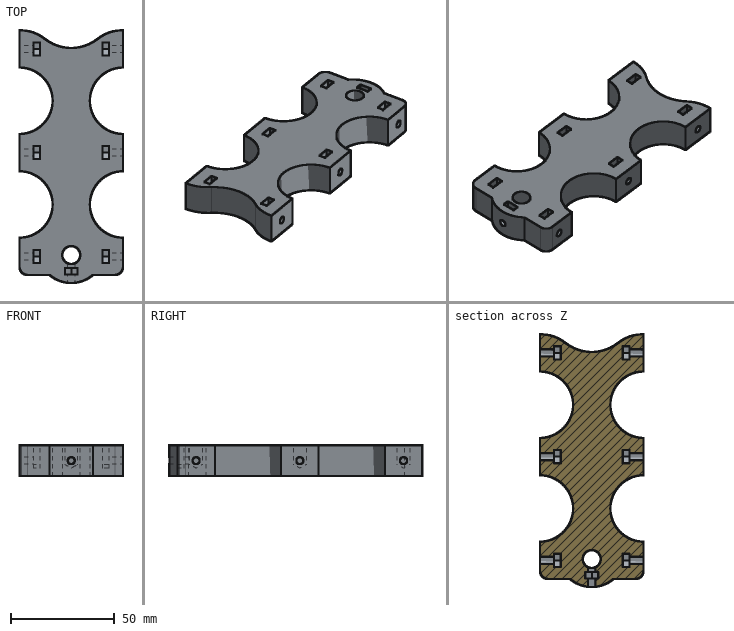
import cadquery as cq
import math

width = 50.0
length = 121.8
thickness = 15.0
row_pitch = 50.0
land_half = 9.0
corner_radius = 4.0

recess_radius = row_pitch / 2 - land_half

nose_radius = 16.0
hollow_radius = 20.7
hollow_depth = 8.5
shoulder_radius = 18.9

bore_diameter = 8.5
bore_above_row = 0.6

screw_diameter = 3.4
nut_flats = 6.2
side_nut_thickness = 3.2
nose_nut_thickness = 2.9
side_nut_inset = 8.4
nose_nut_inset = 5.7

half_width = width / 2
middle_z = thickness / 2
end_y = row_pitch + land_half
nose_tip_y = end_y - length
flat_y = -end_y
bore_y = -row_pitch + bore_above_row
row_ys = [-row_pitch, 0, row_pitch]
recess_ys = [-row_pitch / 2, row_pitch / 2]

side_screw_depth = side_nut_inset
nose_screw_depth = bore_y - nose_tip_y


def disc(x, y, radius):
    return cq.Workplane("XY").center(x, y).circle(radius).extrude(thickness)


def body():
    block = cq.Workplane("XY").box(width, end_y - flat_y, thickness, centered=(True, True, False))
    block = block.edges("|Z and <Y").fillet(corner_radius)
    return block.union(disc(0, nose_tip_y + nose_radius, nose_radius))


def hollow():
    """Round hollow in the +Y end, flaring into the end face through tangent shoulders."""
    centre_y = end_y - hollow_depth + hollow_radius
    shoulder_y = end_y - shoulder_radius
    centre_gap = hollow_radius + shoulder_radius
    shoulder_x = math.sqrt(centre_gap**2 - (centre_y - shoulder_y) ** 2)
    tangent_x = shoulder_x * hollow_radius / centre_gap
    tangent_y = centre_y - (centre_y - shoulder_y) * hollow_radius / centre_gap
    half_angle = math.atan2(shoulder_x - tangent_x, tangent_y - shoulder_y) / 2
    mid_x = shoulder_x - shoulder_radius * math.sin(half_angle)
    mid_y = shoulder_y + shoulder_radius * math.cos(half_angle)
    return (
        cq.Workplane("XY")
        .moveTo(-shoulder_x, end_y)
        .threePointArc((-mid_x, mid_y), (-tangent_x, tangent_y))
        .threePointArc((0, end_y - hollow_depth), (tangent_x, tangent_y))
        .threePointArc((mid_x, mid_y), (shoulder_x, end_y))
        .close()
        .extrude(thickness)
    )


def screw_and_nut(depth, nut_inset, nut_thickness):
    """Cutter for a screw entering along +X from the origin, with its nut pocket open to +Z."""
    screw = cq.Workplane("YZ").circle(screw_diameter / 2).extrude(depth)
    half_flats = nut_flats / 2
    point_low = -half_flats / math.cos(math.pi / 6)
    side_low = point_low / 2
    pocket = (
        cq.Workplane("YZ", origin=(nut_inset - nut_thickness / 2, 0, 0))
        .moveTo(0, point_low)
        .lineTo(half_flats, side_low)
        .lineTo(half_flats, middle_z)
        .lineTo(-half_flats, middle_z)
        .lineTo(-half_flats, side_low)
        .close()
        .extrude(nut_thickness)
    )
    return screw.union(pocket)


result = body().cut(hollow()).cut(disc(0, bore_y, bore_diameter / 2))

for recess_y in recess_ys:
    for side in (-1, 1):
        result = result.cut(disc(side * half_width, recess_y, recess_radius))

side_cutter = screw_and_nut(side_screw_depth, side_nut_inset, side_nut_thickness)
facing_cutter = side_cutter.rotate((0, 0, 0), (0, 0, 1), 180)
for row_y in row_ys:
    result = result.cut(side_cutter.translate((-half_width, row_y, middle_z)))
    result = result.cut(facing_cutter.translate((half_width, row_y, middle_z)))

nose_cutter = screw_and_nut(nose_screw_depth, nose_nut_inset, nose_nut_thickness)
nose_cutter = nose_cutter.rotate((0, 0, 0), (0, 0, 1), 90)
result = result.cut(nose_cutter.translate((0, nose_tip_y, middle_z)))